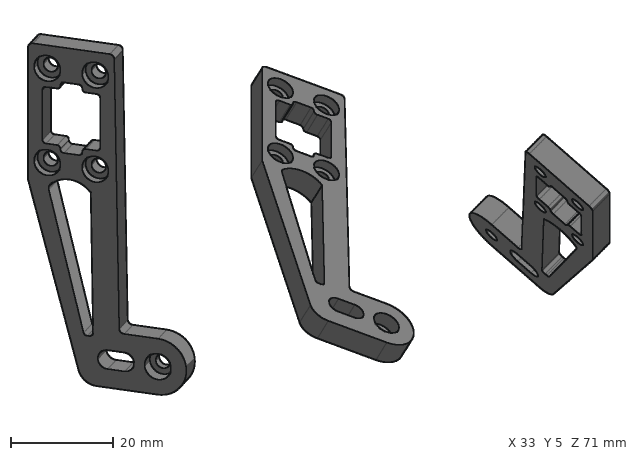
import cadquery as cq

thickness = 5.0
height = 71.0
width = 33.0

top_width = 18.0
neck_width = 19.0
left_edge_bottom = 41.9
heel_x = 11.3
heel_radius = 4.0
corner_radius = 1.0
foot_radius = 6.0
foot_height = 2 * foot_radius
foot_center_x = width - foot_radius

hole_diameter = 3.0
counterbore_diameter = 5.5
upper_counterbore_depth = 2.0
foot_counterbore_depth = 3.0
hole_pitch_x = 10.0
hole_pitch_z = 20.0
pattern_x = 9.0
pattern_z = 56.1

window_size = 12.0
notch_width = 4.55
notched_height = 15.0
window_radius = 0.7

slot_length = 7.5
slot_width = 4.0
slot_center_x = 18.3

opening_bottom = 10.45
opening_left_bottom = 11.7
opening_left_top = 4.2
opening_right_bottom = 13.6
opening_shoulder = 41.0
opening_right_top = 13.1
crown_top = 43.1
opening_bottom_radius = 0.8
opening_shoulder_radius = 1.0


def front_sketch():
    """Workplane on the front face, with local axes along X and Z."""
    return cq.Workplane("XZ", origin=(0, -thickness, 0))


def through_cutter(profile):
    """Extend a front-face profile back through the plate."""
    return profile.extrude(-thickness)


def edges_at(x, z):
    """Select the edge across the thickness at the given profile corner."""
    return cq.selectors.NearestToPointSelector((x, -thickness / 2, z))


def make_plate():
    plate = through_cutter(
        front_sketch()
        .moveTo(heel_x, 0)
        .lineTo(foot_center_x, 0)
        .threePointArc((width, foot_radius), (foot_center_x, foot_height))
        .lineTo(neck_width, foot_height)
        .lineTo(top_width, height)
        .lineTo(0, height)
        .lineTo(0, left_edge_bottom)
        .close()
    )
    plate = plate.edges(edges_at(heel_x, 0)).fillet(heel_radius)
    for x, z in [(0, height), (top_width, height), (neck_width, foot_height)]:
        plate = plate.edges(edges_at(x, z)).fillet(corner_radius)
    return plate


def make_window():
    def centered_block(size_x, size_z):
        return through_cutter(front_sketch().center(pattern_x, pattern_z).rect(size_x, size_z))

    square = centered_block(window_size, window_size)
    notches = centered_block(notch_width, notched_height)
    return square.union(notches).edges("|Y").fillet(window_radius)


def make_slot():
    return through_cutter(
        front_sketch().center(slot_center_x, foot_radius).slot2D(slot_length, slot_width)
    )


def make_leg_opening():
    crown_x = (opening_left_top + opening_right_top) / 2
    opening = through_cutter(
        front_sketch()
        .moveTo(opening_left_bottom, opening_bottom)
        .lineTo(opening_right_bottom, opening_bottom)
        .lineTo(opening_right_top, opening_shoulder)
        .threePointArc((crown_x, crown_top), (opening_left_top, opening_shoulder))
        .close()
    )
    for x in (opening_left_bottom, opening_right_bottom):
        opening = opening.edges(edges_at(x, opening_bottom)).fillet(opening_bottom_radius)
    shoulder = edges_at(opening_left_top, opening_shoulder)
    return opening.edges(shoulder).fillet(opening_shoulder_radius)


def upper_hole_positions():
    positions = []
    for side_x in (-1, 1):
        for side_z in (-1, 1):
            x = pattern_x + side_x * hole_pitch_x / 2
            z = pattern_z + side_z * hole_pitch_z / 2
            positions.append((x, z))
    return positions


def make_screw_holes(positions, counterbore_depth):
    """Through holes with counterbores sunk from the front face."""
    sites = front_sketch().pushPoints(positions)
    holes = through_cutter(sites.circle(hole_diameter / 2))
    counterbores = (
        front_sketch()
        .pushPoints(positions)
        .circle(counterbore_diameter / 2)
        .extrude(-counterbore_depth)
    )
    return holes.union(counterbores)


result = (
    make_plate()
    .cut(make_window())
    .cut(make_slot())
    .cut(make_leg_opening())
    .cut(make_screw_holes(upper_hole_positions(), upper_counterbore_depth))
    .cut(make_screw_holes([(foot_center_x, foot_radius)], foot_counterbore_depth))
)